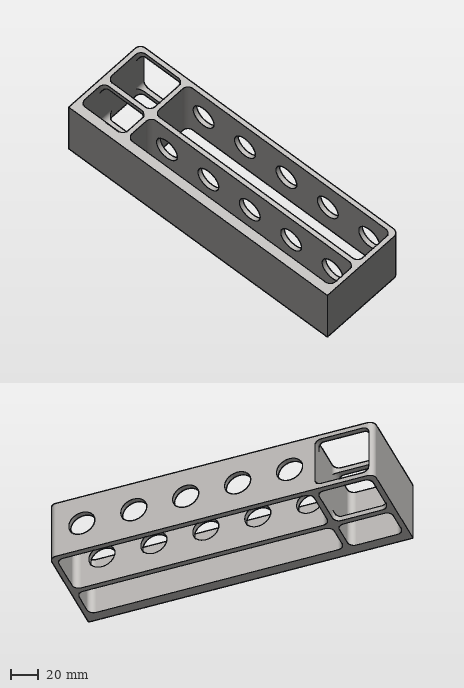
import cadquery as cq

LENGTH = 250.0
DEPTH = 76.0
HEIGHT = 50.0
BACK_CORNER_RADIUS = 5.0

WALL = 4.0
FRONT_WALL = 8.0
SHORT_CELL_LENGTH = 41.5
FRONT_ROW_DEPTH = 25.0
CELL_CORNER_RADIUS = 5.0

long_cell_start = WALL + SHORT_CELL_LENGTH + WALL
long_cell_length = LENGTH - WALL - long_cell_start
divider_front = FRONT_WALL + FRONT_ROW_DEPTH
back_row_start = divider_front + WALL
back_row_depth = DEPTH - WALL - back_row_start

HOLE_DIAMETER = 20.0
HOLE_COUNT = 5
HOLE_PITCH = 40.0
LAST_HOLE_FROM_END = 25.0

WINDOW_RIM = 4.0
WINDOW_CORNER_RADIUS = 5.0
window_height = HEIGHT - 2 * WINDOW_RIM


def box_at(x, y, z, length, depth, height):
    """Box whose lowest corner is at (x, y, z)."""
    return cq.Workplane("XY").box(length, depth, height, centered=False).translate((x, y, z))


def make_block():
    """Solid block with its two upright back corners rounded."""
    block = box_at(0, 0, 0, LENGTH, DEPTH, HEIGHT)
    return block.edges("|Z and >Y").fillet(BACK_CORNER_RADIUS)


def make_cells():
    """Four rounded compartments, open at the top and the bottom."""
    cells = cq.Workplane("XY")
    for x, length in ((WALL, SHORT_CELL_LENGTH), (long_cell_start, long_cell_length)):
        for y, depth in ((FRONT_WALL, FRONT_ROW_DEPTH), (back_row_start, back_row_depth)):
            cell = box_at(x, y, 0, length, depth, HEIGHT)
            cells = cells.add(cell.edges("|Z").fillet(CELL_CORNER_RADIUS))
    return cells.combine()


def make_window():
    """Cutter running along Y from the front compartment out through the back wall."""
    start = divider_front - CELL_CORNER_RADIUS
    window = box_at(WALL, start, WINDOW_RIM, SHORT_CELL_LENGTH, DEPTH - start, window_height)
    return window.edges("|Y").fillet(WINDOW_CORNER_RADIUS)


def make_round_holes():
    """Row of cylinders running along Y from the divider out through the back wall."""
    last_x = LENGTH - LAST_HOLE_FROM_END
    centres = [(last_x - i * HOLE_PITCH, HEIGHT / 2) for i in range(HOLE_COUNT)]
    plane = cq.Workplane("XZ", origin=(0, DEPTH, 0))
    return plane.pushPoints(centres).circle(HOLE_DIAMETER / 2).extrude(DEPTH - divider_front)


result = make_block().cut(make_cells()).cut(make_window()).cut(make_round_holes())